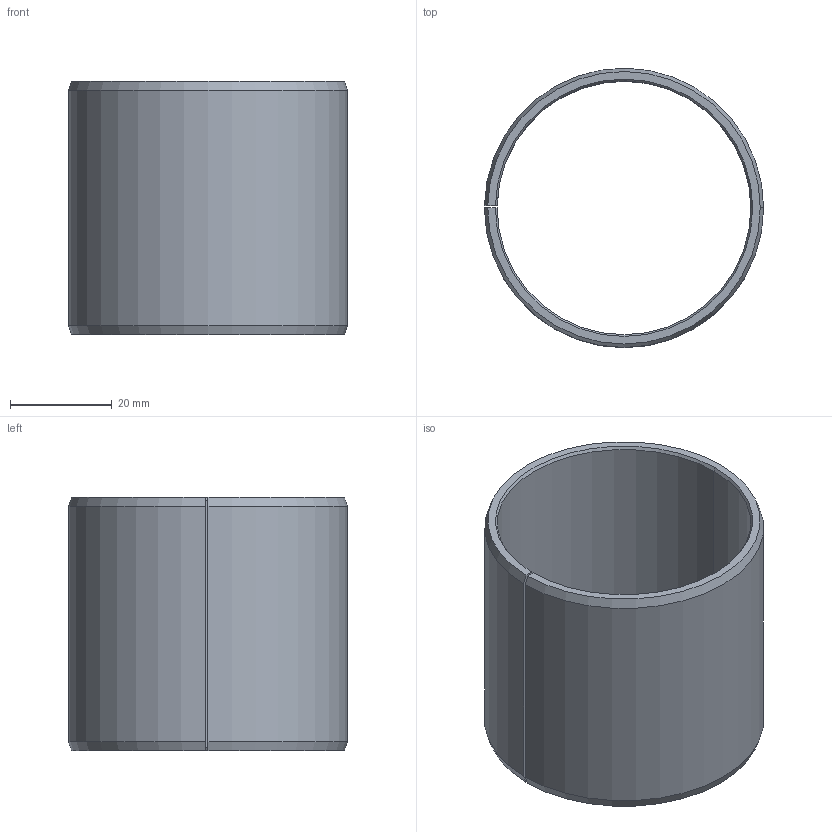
import cadquery as cq
import math

outer_diameter = 55.0
inner_diameter = 50.0
length = 50.0

outer_chamfer_length = 1.8
outer_chamfer_angle = 20.0
bore_chamfer_length = 0.6
bore_chamfer_angle = 30.0

split_width = 0.5

outer_radius = outer_diameter / 2
inner_radius = inner_diameter / 2
half_length = length / 2
outer_chamfer_depth = outer_chamfer_length * math.tan(math.radians(outer_chamfer_angle))
bore_chamfer_depth = bore_chamfer_length * math.tan(math.radians(bore_chamfer_angle))


def bush_body():
    """Revolve the chamfered wall section about Z, with the length centred on the origin."""
    wall_section = [
        (inner_radius, -half_length + bore_chamfer_length),
        (inner_radius + bore_chamfer_depth, -half_length),
        (outer_radius - outer_chamfer_depth, -half_length),
        (outer_radius, -half_length + outer_chamfer_length),
        (outer_radius, half_length - outer_chamfer_length),
        (outer_radius - outer_chamfer_depth, half_length),
        (inner_radius + bore_chamfer_depth, half_length),
        (inner_radius, half_length - bore_chamfer_length),
    ]
    return cq.Workplane("XZ").polyline(wall_section).close().revolve(360, (0, 0), (0, 1))


def split_cutter():
    """Thin slab from the axis out past the -X wall, over the full length."""
    slab = cq.Workplane("XY").box(outer_diameter, split_width, length)
    return slab.translate((-outer_diameter / 2, split_width / 2, 0))


result = bush_body().cut(split_cutter())